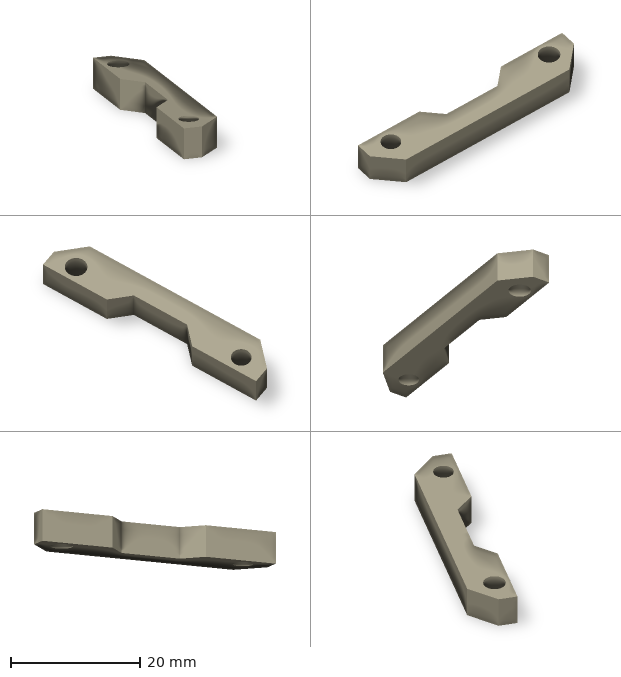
import cadquery as cq

length = 40.0
width = 7.0
thickness = 5.0

corner_cut = 4.0

notch_floor_length = 10.0
notch_depth = 3.0

left_hole_diameter = 3.5
right_hole_diameter = 3.2
hole_spacing = 31.0
hole_to_front_edge = 2.5

half_length = length / 2
half_notch_floor = notch_floor_length / 2
half_notch_mouth = half_notch_floor + notch_depth


def make_bar():
    """Bar with cut rear corners and a flared notch in the front edge."""
    outline = [
        (-half_length, 0),
        (-half_notch_mouth, 0),
        (-half_notch_floor, notch_depth),
        (half_notch_floor, notch_depth),
        (half_notch_mouth, 0),
        (half_length, 0),
        (half_length, width - corner_cut),
        (half_length - corner_cut, width),
        (-half_length + corner_cut, width),
        (-half_length, width - corner_cut),
    ]
    return cq.Workplane("XY").polyline(outline).close().extrude(thickness)


def make_hole(x, diameter):
    """Cylinder that cuts one mounting hole through the full thickness."""
    return cq.Workplane("XY").center(x, hole_to_front_edge).circle(diameter / 2).extrude(thickness)


left_hole = make_hole(-hole_spacing / 2, left_hole_diameter)
right_hole = make_hole(hole_spacing / 2, right_hole_diameter)

result = make_bar().cut(left_hole).cut(right_hole)